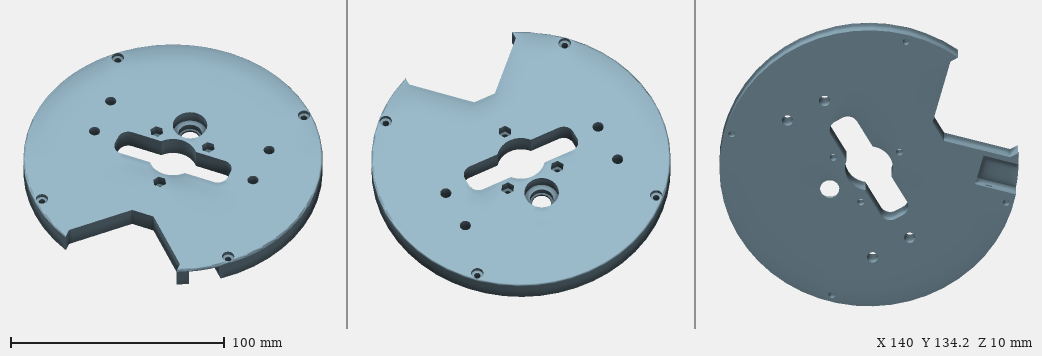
import cadquery as cq
import math

DISC_DIAMETER = 140.0
DISC_RADIUS = DISC_DIAMETER / 2
THICKNESS = 10.0
RIM_FILLET = 1.0

NOTCH_MOUTH_HALF_WIDTH = 28.0
NOTCH_ROOT_HALF_WIDTH = 5.4
NOTCH_ROOT_Y = -37.4

WINDOW_LENGTH = 56.8
WINDOW_WIDTH = 14.0
WINDOW_CORNER_RADIUS = 5.0
WINDOW_CIRCLE_DIAMETER = 22.4

RIM_HOLE_OFFSET = 47.0
RIM_HOLE_DIAMETER = 3.1
RIM_HEAD_DIAMETER = 5.8
RIM_HEAD_DEPTH = 2.0

MOUNT_HOLE_DIAMETER = 5.2
MOUNT_HOLE_X = 40.0
MOUNT_HOLE_YS = (1.0, 21.0)

SHAFT_Y = 21.2
SHAFT_HOLE_DIAMETER = 9.0
SHAFT_STEP_DIAMETER = 11.0
SHAFT_BORE_DIAMETER = 16.1
SHAFT_BORE_DEPTH = 6.0
SHAFT_STEP_DEPTH = 9.0

NUT_HOLE_DIAMETER = 3.2
NUT_ACROSS_FLATS = 5.6
NUT_POCKET_DEPTH = 5.0
NUT_POSITIONS = ((-13.0, 11.8), (13.0, 11.8), (0.0, -16.5))

CHANNEL_ANGLE = -45.0
CHANNEL_INNER_RADIAL = 50.0
CHANNEL_WALL_LATERAL = -5.2
CHANNEL_WIDTH = 15.0
CHANNEL_HEIGHT = 8.7

RECESS_RADIAL = 56.6
RECESS_LENGTH = 3.0
RECESS_HEIGHT = 1.3
RECESS_DEPTH = 1.2
RECESS_BOTTOM_Z = 1.7


def cut_cylinder(body, points, diameter, depth):
    """Cut round holes of the given depth from the top face."""
    tool = (
        cq.Workplane("XY", origin=(0, 0, THICKNESS - depth))
        .pushPoints(points)
        .circle(diameter / 2)
        .extrude(depth)
    )
    return body.cut(tool)


def make_disc():
    disc = cq.Workplane("XY").circle(DISC_RADIUS).extrude(THICKNESS)
    return disc.faces(">Z").edges().fillet(RIM_FILLET)


def cut_notch(body):
    flank_run = NOTCH_MOUTH_HALF_WIDTH - NOTCH_ROOT_HALF_WIDTH
    flank_end_y = NOTCH_ROOT_Y - flank_run
    notch = (
        cq.Workplane("XY")
        .moveTo(-NOTCH_MOUTH_HALF_WIDTH, -DISC_RADIUS)
        .lineTo(-NOTCH_MOUTH_HALF_WIDTH, flank_end_y)
        .lineTo(-NOTCH_ROOT_HALF_WIDTH, NOTCH_ROOT_Y)
        .lineTo(NOTCH_ROOT_HALF_WIDTH, NOTCH_ROOT_Y)
        .lineTo(NOTCH_MOUTH_HALF_WIDTH, flank_end_y)
        .lineTo(NOTCH_MOUTH_HALF_WIDTH, -DISC_RADIUS)
        .close()
        .extrude(THICKNESS)
    )
    return body.cut(notch)


def cut_window(body):
    window = (
        cq.Workplane("XY")
        .rect(WINDOW_LENGTH, WINDOW_WIDTH)
        .extrude(THICKNESS)
        .edges("|Z")
        .fillet(WINDOW_CORNER_RADIUS)
    )
    body = body.cut(window)
    return cut_cylinder(body, [(0, 0)], WINDOW_CIRCLE_DIAMETER, THICKNESS)


def cut_rim_holes(body):
    points = [(sx * RIM_HOLE_OFFSET, sy * RIM_HOLE_OFFSET) for sx in (-1, 1) for sy in (-1, 1)]
    body = cut_cylinder(body, points, RIM_HOLE_DIAMETER, THICKNESS)
    return cut_cylinder(body, points, RIM_HEAD_DIAMETER, RIM_HEAD_DEPTH)


def cut_mount_holes(body):
    points = [(sx * MOUNT_HOLE_X, y) for sx in (-1, 1) for y in MOUNT_HOLE_YS]
    return cut_cylinder(body, points, MOUNT_HOLE_DIAMETER, THICKNESS)


def cut_shaft_hole(body):
    centre = [(0, SHAFT_Y)]
    body = cut_cylinder(body, centre, SHAFT_BORE_DIAMETER, SHAFT_BORE_DEPTH)
    body = cut_cylinder(body, centre, SHAFT_STEP_DIAMETER, SHAFT_STEP_DEPTH)
    return cut_cylinder(body, centre, SHAFT_HOLE_DIAMETER, THICKNESS)


def cut_nut_pockets(body):
    across_corners = NUT_ACROSS_FLATS / math.cos(math.pi / 6)
    pockets = (
        cq.Workplane("XY", origin=(0, 0, THICKNESS - NUT_POCKET_DEPTH))
        .pushPoints(NUT_POSITIONS)
        .polygon(6, across_corners)
        .extrude(NUT_POCKET_DEPTH)
    )
    body = body.cut(pockets)
    return cut_cylinder(body, NUT_POSITIONS, NUT_HOLE_DIAMETER, THICKNESS)


def cut_channel(body):
    """Cut the underside channel and its wall recess, built along +X and then turned."""
    channel = cq.Workplane("XY").box(
        DISC_RADIUS - CHANNEL_INNER_RADIAL, CHANNEL_WIDTH, CHANNEL_HEIGHT, centered=False
    ).translate((CHANNEL_INNER_RADIAL, CHANNEL_WALL_LATERAL - CHANNEL_WIDTH, 0))
    recess = cq.Workplane("XY").box(
        RECESS_LENGTH, RECESS_DEPTH, RECESS_HEIGHT, centered=False
    ).translate((RECESS_RADIAL - RECESS_LENGTH / 2, CHANNEL_WALL_LATERAL, RECESS_BOTTOM_Z))
    tool = channel.union(recess).rotate((0, 0, 0), (0, 0, 1), CHANNEL_ANGLE)
    return body.cut(tool)


result = make_disc()
result = cut_notch(result)
result = cut_window(result)
result = cut_rim_holes(result)
result = cut_mount_holes(result)
result = cut_shaft_hole(result)
result = cut_nut_pockets(result)
result = cut_channel(result)